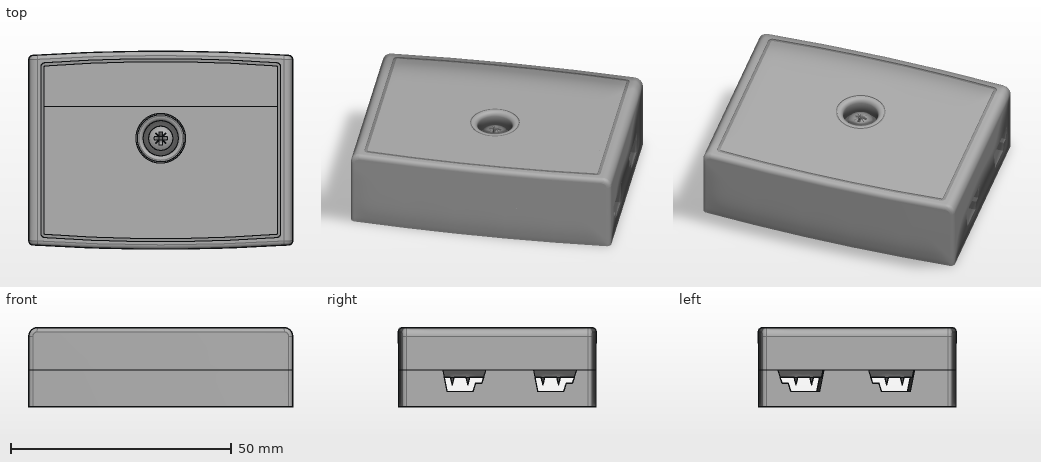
import cadquery as cq
import math

LENGTH = 60.0
WIDTH_MID = 45.0
WIDTH_END = 43.0
HEIGHT = 18.0
PARTING_Z = 8.4
SIDE_TOP_FILLET = 2.0
EDGE_FILLET = 1.0

RIM_END = 2.75
RIM_SIDE = 1.7
LABEL_GAP = 0.7
RECESS_DEPTH = 0.3
LABEL_THICKNESS = RECESS_DEPTH
RECESS_CORNER = 1.0
LABEL_CORNER = RECESS_CORNER - LABEL_GAP
LABEL_SPLIT_Y = 9.9

SCREW_Y = 2.7
LABEL_HOLE_D = 11.3
COLLAR_D = 10.67
WELL_D = 8.0
WELL_FILLET = 1.0
WELL_FLOOR_Z = 14.0
HEAD_D = 5.5
HEAD_RIM_Z = 15.5
HEAD_TOP_Z = 16.4
SHANK_D = 3.0
SHANK_TIP_Z = 2.0
CROSS_SPAN = 3.4
CROSS_WIDTH = 0.7
CROSS_FLOOR_SPAN = CROSS_WIDTH
CROSS_DEPTH = 1.5
STAR_SPAN = 3.1
STAR_WIDTH = 0.15
STAR_DEPTH = 0.7

CHANNEL_PITCH = 20.6
CHANNEL_FLOOR_Z = 3.5
CHANNEL_STEP_Z = 5.4
FLOOR_HALF_WIDTH = 3.27
STEP_WIDTH = 1.4
FLOOR_OFFSET = -1.2
STEPPED_WALL_LEAN = 0.32
PLAIN_WALL_LEAN = 0.2
CHANNEL_NARROWING = 0.7
TONGUE_LENGTH = 20.0
TONGUE_Z = 6.7
SPIKE_D = 0.9
SPIKE_LENGTH = 1.8
SPIKE_PITCH = 3.55
SPIKE_OFFSET = -0.85

channel_positions = [SCREW_Y + side * CHANNEL_PITCH / 2 for side in (1, -1)]


def bowed_plate(end_inset, side_inset, bottom_z, top_z):
    """Plate with straight ends and bowed long sides, inset from the housing outline."""
    half_length = LENGTH / 2 - end_inset
    half_mid = WIDTH_MID / 2 - side_inset
    half_end = WIDTH_END / 2 - side_inset
    return (
        cq.Workplane("XY", origin=(0, 0, bottom_z))
        .moveTo(-half_length, -half_end)
        .threePointArc((0, -half_mid), (half_length, -half_end))
        .lineTo(half_length, half_end)
        .threePointArc((0, half_mid), (-half_length, half_end))
        .close()
        .extrude(top_z - bottom_z)
    )


def slab(bottom_z, top_z, length=2 * LENGTH):
    """Block wider than the housing, used to keep one range of heights."""
    return cq.Workplane("XY", origin=(0, 0, bottom_z)).box(
        length, 2 * WIDTH_MID, top_z - bottom_z, centered=(True, True, False)
    )


def cylinder(diameter, bottom_z, top_z):
    """Cylinder on the screw axis."""
    return (
        cq.Workplane("XY", origin=(0, SCREW_Y, bottom_z)).circle(diameter / 2).extrude(top_z - bottom_z)
    )


def housing_block():
    """Outer form shared by the base and the lid."""
    block = bowed_plate(0, 0, 0, HEIGHT).edges("|Y and >Z").fillet(SIDE_TOP_FILLET)
    above_bottom = cq.selectors.BoxSelector(
        (-LENGTH, -WIDTH_MID, EDGE_FILLET), (LENGTH, WIDTH_MID, 2 * HEIGHT)
    )
    return block.faces("<Y or >Y").edges(above_bottom).fillet(EDGE_FILLET)


def channel_outline(narrowing):
    """Channel section as (y, z) points; the plain wall is moved inward by the narrowing."""
    step_height = CHANNEL_STEP_Z - CHANNEL_FLOOR_Z
    full_height = PARTING_Z - CHANNEL_FLOOR_Z
    plain_y = FLOOR_OFFSET - FLOOR_HALF_WIDTH + narrowing
    stepped_y = FLOOR_OFFSET + FLOOR_HALF_WIDTH
    step_inner_y = stepped_y + STEPPED_WALL_LEAN * step_height
    step_outer_y = step_inner_y + STEP_WIDTH
    return [
        (plain_y, CHANNEL_FLOOR_Z),
        (stepped_y, CHANNEL_FLOOR_Z),
        (step_inner_y, CHANNEL_STEP_Z),
        (step_outer_y, CHANNEL_STEP_Z),
        (step_outer_y + STEPPED_WALL_LEAN * (full_height - step_height), PARTING_Z),
        (plain_y - PLAIN_WALL_LEAN * full_height, PARTING_Z),
    ]


def channel(y):
    """Stepped cable channel through the whole length, narrowing towards +X."""
    return (
        cq.Workplane("YZ", origin=(-LENGTH / 2, y, 0))
        .polyline(channel_outline(0))
        .close()
        .workplane(offset=LENGTH)
        .polyline(channel_outline(CHANNEL_NARROWING))
        .close()
        .loft(ruled=True)
    )


def spikes(y):
    """Two pointed spikes that hang from a tongue into the channel."""
    tip = cq.Solid.makeCone(SPIKE_D / 2, 0, SPIKE_LENGTH, dir=cq.Vector(0, 0, -1))
    spots = [(0, y + SPIKE_OFFSET + side * SPIKE_PITCH / 2) for side in (1, -1)]
    return cq.Workplane("XY", origin=(0, 0, TONGUE_Z)).pushPoints(spots).eachpoint(lambda at: tip.moved(at))


def make_base():
    base = housing_block().intersect(slab(0, PARTING_Z))
    for y in channel_positions:
        base = base.cut(channel(y))
    return base.cut(cylinder(SHANK_D, SHANK_TIP_Z, PARTING_Z))


def make_lid():
    lid = housing_block().intersect(slab(PARTING_Z, HEIGHT))
    lid = lid.cut(cylinder(WELL_D, WELL_FLOOR_Z, HEIGHT))
    well_mouth = cq.selectors.RadiusNthSelector(0)
    lid = lid.faces(">Z").edges("%CIRCLE").edges(well_mouth).fillet(WELL_FILLET)
    recess = bowed_plate(RIM_END, RIM_SIDE, HEIGHT - RECESS_DEPTH, HEIGHT).edges("|Z").fillet(RECESS_CORNER)
    lid = lid.cut(recess.cut(cylinder(COLLAR_D, HEIGHT - RECESS_DEPTH, HEIGHT)))
    lid = lid.cut(cylinder(SHANK_D, PARTING_Z, WELL_FLOOR_Z))
    for y in channel_positions:
        tongue = channel(y).intersect(slab(TONGUE_Z, PARTING_Z, TONGUE_LENGTH))
        lid = lid.union(tongue).union(spikes(y))
    return lid


def make_label_sheet():
    """Both labels before they are parted."""
    bottom_z = HEIGHT - RECESS_DEPTH
    top_z = bottom_z + LABEL_THICKNESS
    sheet = bowed_plate(RIM_END + LABEL_GAP, RIM_SIDE + LABEL_GAP, bottom_z, top_z)
    sheet = sheet.edges("|Z").fillet(LABEL_CORNER)
    return sheet.cut(cylinder(LABEL_HOLE_D, bottom_z, top_z))


def label_side():
    """Block that covers everything on the +Y side of the label split."""
    return cq.Workplane("XY", origin=(0, LABEL_SPLIT_Y, 0)).box(
        LENGTH, WIDTH_MID, 2 * HEIGHT, centered=(True, False, True)
    )


def make_screw():
    head_rise = HEAD_TOP_Z - HEAD_RIM_Z
    head_radius = HEAD_D / 2
    dome_radius = (head_radius**2 + head_rise**2) / (2 * head_rise)
    half_angle = math.asin(head_radius / dome_radius) / 2
    dome_mid = (
        dome_radius * math.sin(half_angle),
        HEAD_TOP_Z - dome_radius * (1 - math.cos(half_angle)),
    )
    screw = (
        cq.Workplane("XZ", origin=(0, SCREW_Y, 0))
        .moveTo(0, SHANK_TIP_Z)
        .lineTo(SHANK_D / 2, SHANK_TIP_Z)
        .lineTo(SHANK_D / 2, WELL_FLOOR_Z)
        .lineTo(head_radius, WELL_FLOOR_Z)
        .lineTo(head_radius, HEAD_RIM_Z)
        .threePointArc(dome_mid, (0, HEAD_TOP_Z))
        .close()
        .revolve(360, (0, 0), (0, 1))
    )
    arm = (
        cq.Workplane("XZ")
        .moveTo(-CROSS_SPAN / 2, 0)
        .lineTo(-CROSS_FLOOR_SPAN / 2, -CROSS_DEPTH)
        .lineTo(CROSS_FLOOR_SPAN / 2, -CROSS_DEPTH)
        .lineTo(CROSS_SPAN / 2, 0)
        .close()
        .extrude(CROSS_WIDTH / 2, both=True)
    )
    groove = cq.Workplane("XY").box(STAR_SPAN, STAR_WIDTH, 2 * STAR_DEPTH)
    for turn in (0, 90):
        for cutter, angle in ((arm, turn), (groove, turn + 45)):
            turned = cutter.rotate((0, 0, 0), (0, 0, 1), angle)
            screw = screw.cut(turned.translate((0, SCREW_Y, HEAD_TOP_Z)))
    return screw


base = make_base()
lid = make_lid()
main_label = make_label_sheet().cut(label_side())
strip_label = make_label_sheet().intersect(label_side())
screw = make_screw()

result = cq.Compound.makeCompound(
    [base.val(), lid.val(), main_label.val(), strip_label.val(), screw.val()]
)